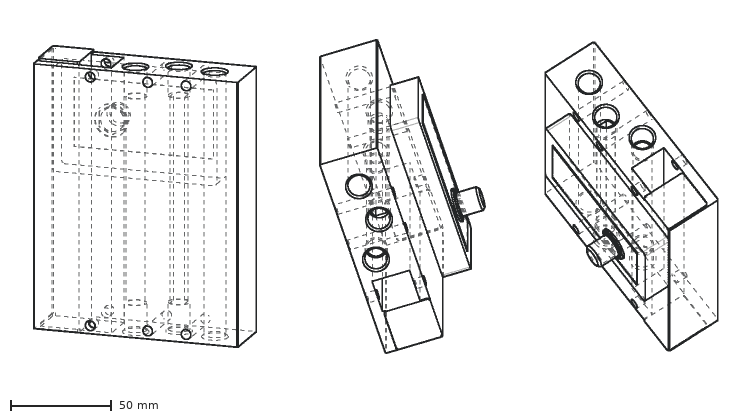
import cadquery as cq

block_width = 106.7
block_depth = 30.0
block_height = 136.5
block_edge_chamfer = 0.5

window_left = 22.0
window_width = 17.0
window_front = 5.5
window_depth = 19.5

pad_left = 0.5
pad_front = 6.0
pad_height = 1.25
pad_corner_chamfer = 1.0

round_port = (49.7, 11.0)
flatted_port = (69.7, 19.0)
open_port = (89.7, 15.0)
port_mouth_diameter = 13.2
port_bore_diameter = 11.0
port_bore_depth = 15.0
passage_diameter = 9.4
passage_flat_width = 7.5

screw_columns = (29.7, 59.7, 79.7)
screw_end_distance = 4.2
screw_diameter = 5.0

cover_width = 85.7
cover_depth = 14.5
cover_height = 54.2
cover_top_gap = 9.2
cover_corner_radius = 2.0
cover_center_x = cover_width / 2
cover_center_z = block_height - cover_top_gap - cover_height / 2
cover_rear = block_depth + cover_depth

label_width = 72.5
label_height = 35.6
label_thickness = 0.5
label_rear = cover_rear + label_thickness

connector_x = 25.6
connector_z = block_height - 39.2
washer_diameter = 17.0
washer_thickness = 1.0
nut_across_flats = 13.3
nut_thickness = 0.9
connector_diameter = 12.2
connector_tip_chamfer = 1.2
connector_rear = 58.4

CORNER_ACROSS_FLATS = 2 / 3 ** 0.5


def rear_plane(x, y, z):
    """Sketch plane facing +Y, with local Y along Z."""
    return cq.Plane(origin=(x, y, z), xDir=(-1, 0, 0), normal=(0, 1, 0))


def vertical_box(left, right, front, rear, bottom, top):
    size = (right - left, rear - front, top - bottom)
    return cq.Workplane("XY").box(*size, centered=False).translate((left, front, bottom))


def make_block():
    block = vertical_box(0, block_width, 0, block_depth, 0, block_height)
    return block.edges("|Z").chamfer(block_edge_chamfer)


def make_pads():
    pad = vertical_box(pad_left, window_left, pad_front, block_depth, -pad_height, block_height + pad_height)
    return pad.edges("|Z").chamfer(pad_corner_chamfer)


def make_window():
    window_right = window_left + window_width
    window_rear = window_front + window_depth
    return vertical_box(window_left, window_right, window_front, window_rear, 0, block_height)


def make_port(center, passage_size, flat_width):
    """Chamfered bores from both ends, joined by a passage whose sides may be flattened."""
    x, y = center
    mouth_chamfer = (port_mouth_diameter - port_bore_diameter) / 2
    mouth_radius = port_mouth_diameter / 2
    bore_radius = port_bore_diameter / 2
    bore_profile = [
        (0, 0),
        (mouth_radius, 0),
        (bore_radius, mouth_chamfer),
        (bore_radius, port_bore_depth),
        (0, port_bore_depth),
    ]
    lower_bore = cq.Workplane("XZ").polyline(bore_profile).close().revolve(360, (0, 0), (0, 1))
    upper_bore = lower_bore.mirror("XY").translate((0, 0, block_height))
    passage = cq.Workplane("XY").circle(passage_size / 2).extrude(block_height)
    flats = cq.Workplane("XY").rect(flat_width, passage_size).extrude(block_height)
    port = passage.intersect(flats).union(lower_bore).union(upper_bore)
    return port.translate((x, y, 0))


def make_screw_holes():
    rows = (screw_end_distance, block_height - screw_end_distance)
    centers = [(-x, z) for x in screw_columns for z in rows]
    return cq.Workplane(rear_plane(0, 0, 0)).pushPoints(centers).circle(screw_diameter / 2).extrude(block_depth)


def make_cover():
    cover = cq.Workplane(rear_plane(cover_center_x, block_depth, cover_center_z))
    cover = cover.rect(cover_width, cover_height).extrude(cover_depth)
    cover = cover.edges("|Y").fillet(cover_corner_radius)
    label = cq.Workplane(rear_plane(cover_center_x, cover_rear, cover_center_z))
    label = label.rect(label_width, label_height).extrude(label_thickness)
    return cover.union(label)


def make_connector():
    washer = cq.Workplane(rear_plane(connector_x, label_rear, connector_z))
    washer = washer.circle(washer_diameter / 2).extrude(washer_thickness)
    nut_start = label_rear + washer_thickness
    nut = cq.Workplane(rear_plane(connector_x, nut_start, connector_z))
    nut = nut.transformed(rotate=(0, 0, 90))
    nut = nut.polygon(6, nut_across_flats * CORNER_ACROSS_FLATS).extrude(nut_thickness)
    barrel = cq.Workplane(rear_plane(connector_x, label_rear, connector_z))
    barrel = barrel.circle(connector_diameter / 2).extrude(connector_rear - label_rear)
    barrel = barrel.faces(">Y").chamfer(connector_tip_chamfer)
    return washer.union(nut).union(barrel)


result = make_block().union(make_pads())
result = result.cut(make_window())
result = result.cut(make_port(round_port, passage_diameter, passage_diameter))
result = result.cut(make_port(flatted_port, passage_diameter, passage_flat_width))
result = result.cut(make_port(open_port, port_bore_diameter, port_bore_diameter))
result = result.cut(make_screw_holes())
result = result.union(make_cover())
result = result.union(make_connector())